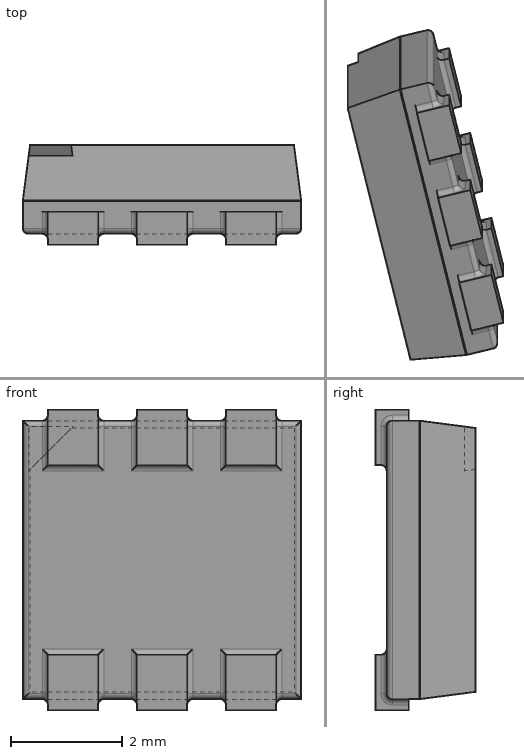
import cadquery as cq


outline_side = 5.0
overall_depth = 1.8
terminal_span = 5.4

base_depth = 0.585
terminal_width = 0.9
terminal_length = 1.0
terminal_depth = 0.6
terminal_drop = 0.2
terminal_pitch = 1.6
terminals_per_end = 3
blend_radius = 0.1

seal_thickness = 0.02

cover_depth = overall_depth - terminal_drop - base_depth - seal_thickness
cover_inset = 0.13
notch_leg = 1.0
notch_depth = 0.2

half_side = outline_side / 2
half_span = terminal_span / 2
base_floor = -base_depth
terminal_face = base_floor - terminal_drop
terminal_top = terminal_face + terminal_depth
cover_foot = seal_thickness
cover_face = cover_foot + cover_depth

selection_margin = 0.005


def slab(side, start, depth):
    """Square slab centred on the Y axis, from Y = start towards +Y."""
    return cq.Workplane("XZ", origin=(0, start, 0)).rect(side, side).extrude(-depth)


def add_terminal(base, x, end):
    """Join one terminal to the base at the given end (+1 or -1 in Z) and blend its root."""
    z = end * (half_span - terminal_length / 2)
    terminal = (
        cq.Workplane("XZ", origin=(x, terminal_face, z))
        .rect(terminal_width, terminal_length)
        .extrude(-terminal_depth)
    )
    half_width = terminal_width / 2 + selection_margin
    root_edges = cq.selectors.BoxSelector(
        (x - half_width, base_floor - selection_margin, 0),
        (x + half_width, terminal_top - selection_margin, end * (half_side + selection_margin)),
    )
    return base.union(terminal).edges(root_edges).fillet(blend_radius)


def make_base():
    base = slab(outline_side, base_floor, base_depth)
    base = base.faces("<Y").edges().fillet(blend_radius)
    for end in (-1, 1):
        for i in range(terminals_per_end):
            x = (i - (terminals_per_end - 1) / 2) * terminal_pitch
            base = add_terminal(base, x, end)
    return base


def make_seal():
    return slab(outline_side, 0, seal_thickness)


def make_cover():
    face_side = outline_side - 2 * cover_inset
    cover = (
        cq.Workplane("XZ", origin=(0, cover_foot, 0))
        .rect(outline_side, outline_side)
        .workplane(offset=-cover_depth)
        .rect(face_side, face_side)
        .loft(ruled=True)
    )
    notch = (
        cq.Workplane("XZ", origin=(-half_side, cover_face - notch_depth, half_side))
        .polyline([(0, 0), (notch_leg, 0), (0, -notch_leg)])
        .close()
        .extrude(-notch_depth)
    )
    return cover.cut(notch)


base = make_base()
seal = make_seal()
cover = make_cover()

result = cq.Compound.makeCompound([base.val(), seal.val(), cover.val()])